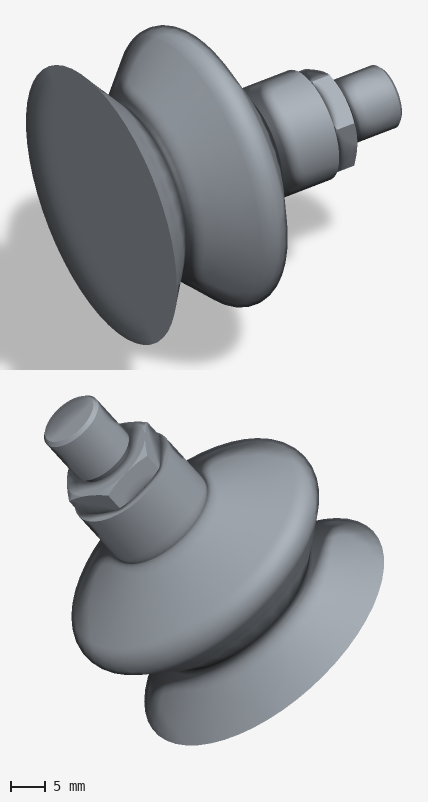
import cadquery as cq
import math

total_length = 48.0

cup_radius = 21.5
groove_start = 6.35
groove_end = 7.55
groove_edge_radius = 13.6
groove_bottom_radius = 13.3
rim_start = 14.9
rim_start_radius = 20.7
rim_crest = 16.95
rim_end = 19.65
rim_end_radius = 19.8

collar_start = 25.45
collar_end = 35.0
collar_radius = 17.0 / 2
hex_end = 38.95
hex_across_flats = 14.0
hex_chamfer_height = 0.55
neck_end = 39.95
neck_radius = 8.6 / 2
stud_radius = 9.75 / 2
stud_chamfer = 0.55


def revolve_about_y(profile):
    return profile.close().revolve(360, (0, 0, 0), (0, 1, 0))


def make_bellows_and_collar():
    groove_middle = (groove_start + groove_end) / 2
    profile = (
        cq.Workplane("XY")
        .lineTo(cup_radius, 0)
        .lineTo(groove_edge_radius, groove_start)
        .threePointArc((groove_bottom_radius, groove_middle), (groove_edge_radius, groove_end))
        .lineTo(rim_start_radius, rim_start)
        .threePointArc((cup_radius, rim_crest), (rim_end_radius, rim_end))
        .lineTo(collar_radius, collar_start)
        .lineTo(collar_radius, collar_end)
        .lineTo(0, collar_end)
    )
    return revolve_about_y(profile)


def make_hexagon():
    """Hexagon with flats facing X, its corners chamfered at both ends."""
    flat_radius = hex_across_flats / 2
    corner_radius = flat_radius / math.cos(math.pi / 6)
    prism = (
        cq.Workplane("XZ", origin=(0, collar_end, 0))
        .transformed(rotate=(0, 0, 30))
        .polygon(6, 2 * corner_radius)
        .extrude(collar_end - hex_end)
    )
    envelope = revolve_about_y(
        cq.Workplane("XY")
        .moveTo(0, collar_end)
        .lineTo(flat_radius, collar_end)
        .lineTo(corner_radius, collar_end + hex_chamfer_height)
        .lineTo(corner_radius, hex_end - hex_chamfer_height)
        .lineTo(flat_radius, hex_end)
        .lineTo(0, hex_end)
    )
    return prism.intersect(envelope)


def make_stud():
    """Undercut neck followed by the plain stud with a chamfered tip."""
    profile = (
        cq.Workplane("XY")
        .moveTo(0, hex_end)
        .lineTo(neck_radius, hex_end)
        .lineTo(neck_radius, neck_end)
        .lineTo(stud_radius, neck_end)
        .lineTo(stud_radius, total_length - stud_chamfer)
        .lineTo(stud_radius - stud_chamfer, total_length)
        .lineTo(0, total_length)
    )
    return revolve_about_y(profile)


result = make_bellows_and_collar().union(make_hexagon()).union(make_stud())